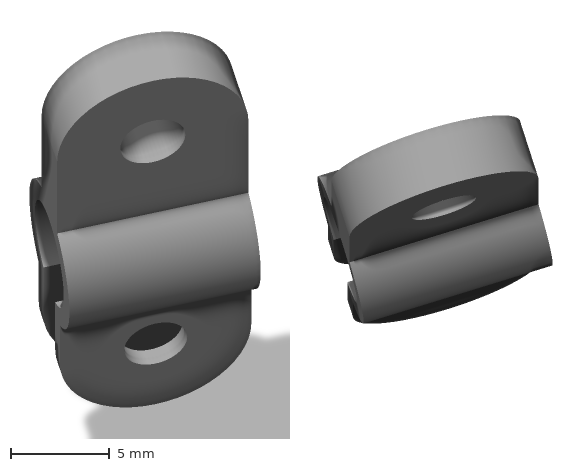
import cadquery as cq

height = 26.0
width = 10.0
end_radius = width / 2

ring_outer_diameter = 7.8
bore_diameter = 5.6
ring_height = 11.5

tab_thickness = 3.05
leg_span = 4.15
leg_gap = 2.3

tab_hole_diameter = 3.4
leg_hole_diameter = 3.3
tab_hole_height = height - end_radius
leg_hole_height = end_radius


def plate(thickness, end_height):
    """Plate from the ring axis to a rounded end, centred on X = 0."""
    straight_length = abs(end_height - ring_height)
    straight = cq.Workplane("XY").box(thickness, width, straight_length)
    straight = straight.translate((0, 0, (end_height + ring_height) / 2))
    return straight.union(cylinder_along_x(2 * end_radius, thickness, end_height))


def cylinder_along_x(diameter, length, center_height):
    return (
        cq.Workplane("YZ", origin=(-length / 2, 0, center_height))
        .circle(diameter / 2)
        .extrude(length)
    )


def cylinder_along_y(diameter):
    return (
        cq.Workplane("XZ", origin=(0, width / 2, ring_height))
        .circle(diameter / 2)
        .extrude(width)
    )


body = cylinder_along_y(ring_outer_diameter)
body = body.union(plate(tab_thickness, tab_hole_height))
body = body.union(plate(leg_span, leg_hole_height))

slot = cq.Workplane("XY").box(leg_gap, width, ring_height)
slot = slot.translate((0, 0, ring_height / 2))
body = body.cut(cylinder_along_y(bore_diameter)).cut(slot)

body = body.cut(cylinder_along_x(tab_hole_diameter, tab_thickness, tab_hole_height))
result = body.cut(cylinder_along_x(leg_hole_diameter, leg_span, leg_hole_height))